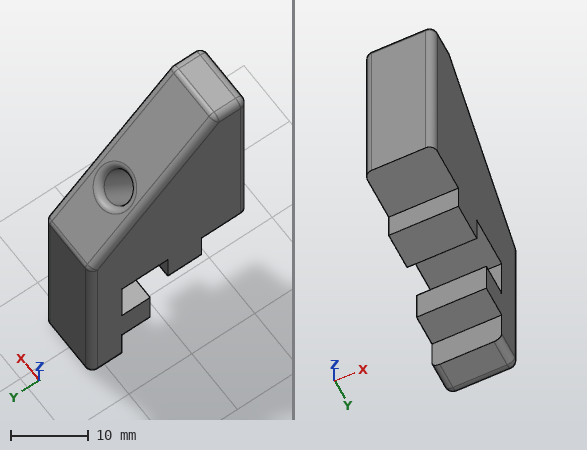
import cadquery as cq
import math

width = 10.0
depth = 25.0
height = 48.5

leg_thickness = 5.0
leg_drop = 18.5
slope_run = 20.0
edge_radius = 1.1

tab_width = 5.4
tab_length = 4.5
tab_offset = 10.0

hole_diameter = 4.8
hole_depth = 10.0
mouth_radius = 1.0
hole_from_rear = 7.5

inner_y = depth - leg_thickness


def block(y_min, y_max, z_min, z_max):
    """Full-width block centred on X = 0."""
    size_y = y_max - y_min
    size_z = z_max - z_min
    return (
        cq.Workplane("XY")
        .box(width, size_y, size_z, centered=(True, False, False))
        .translate((0, y_min, z_min))
    )


def rounded_envelope():
    """Five-sided outer shape with every edge rounded."""
    outline = [
        (0, 0),
        (depth, 0),
        (depth, height - slope_run),
        (depth - slope_run, height),
        (0, height),
    ]
    return (
        cq.Workplane("YZ")
        .polyline(outline)
        .close()
        .extrude(width / 2, both=True)
        .edges()
        .fillet(edge_radius)
    )


def tabs():
    """One tab below the body and a matching one in front of the leg."""
    body_tab_y = inner_y - tab_offset
    leg_tab_z = leg_drop - tab_offset
    half = tab_width / 2
    body_tab = block(body_tab_y - half, body_tab_y + half, leg_drop - tab_length, leg_drop)
    leg_tab = block(inner_y - tab_length, inner_y, leg_tab_z - half, leg_tab_z + half)
    return body_tab, leg_tab


def hole_cutter():
    """Revolved half section of the hole, with a rounded mouth flush with the slope."""
    hole_radius = hole_diameter / 2
    mouth_outer = hole_radius + mouth_radius
    arc_offset = mouth_radius * math.sqrt(0.5)
    mouth_middle = (mouth_outer - arc_offset, arc_offset - mouth_radius)
    section_plane = cq.Plane(
        origin=(0, depth - hole_from_rear, height - slope_run + hole_from_rear),
        xDir=(1, 0, 0),
        normal=(0, -1, 1),
    )
    return (
        cq.Workplane(section_plane)
        .moveTo(0, 0)
        .lineTo(mouth_outer, 0)
        .threePointArc(mouth_middle, (hole_radius, -mouth_radius))
        .lineTo(hole_radius, -hole_depth)
        .lineTo(0, -hole_depth)
        .close()
        .revolve(360, (0, 0, 0), (0, 1, 0))
    )


inner_corner = block(0, inner_y, 0, leg_drop)
result = rounded_envelope().cut(inner_corner)
for tab in tabs():
    result = result.union(tab)
result = result.cut(hole_cutter())